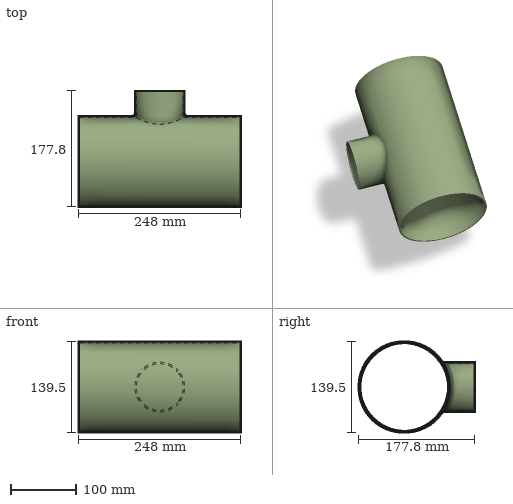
import cadquery as cq

run_length = 248.0
run_outer_diameter = 139.5
run_inner_diameter = 134.5

branch_outer_diameter = 76.1
branch_inner_diameter = 71.5
overall_depth = 177.8
branch_reach = overall_depth - run_outer_diameter / 2

junction_fillet = 3.0


def run_cylinder(diameter):
    """Cylinder along X over the full length of the main tube."""
    return cq.Workplane("YZ").circle(diameter / 2).extrude(run_length / 2, both=True)


def branch_cylinder(diameter):
    """Cylinder along +Y from the main axis to the branch end."""
    return cq.Workplane("XZ").circle(diameter / 2).extrude(-branch_reach)


outer = run_cylinder(run_outer_diameter).union(branch_cylinder(branch_outer_diameter))
outer = outer.edges("%BSPLINE").fillet(junction_fillet)

result = outer.cut(run_cylinder(run_inner_diameter)).cut(branch_cylinder(branch_inner_diameter))